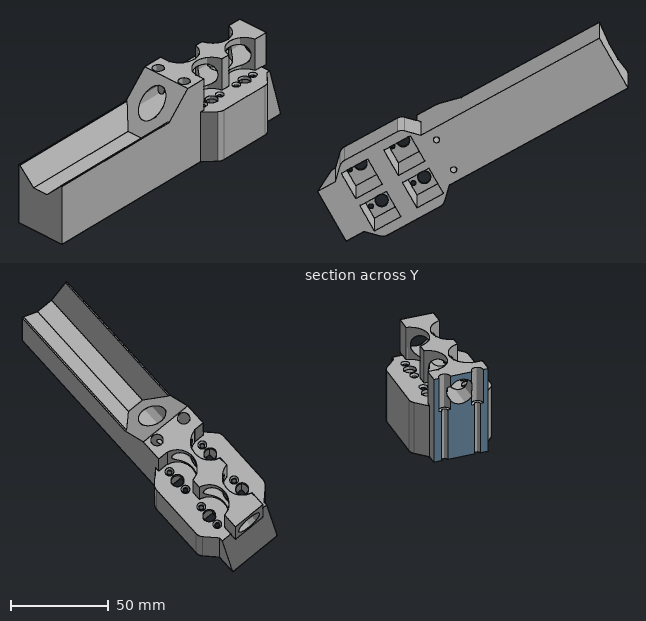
import cadquery as cq
import math

length = 165.1
height = 49.5
body_width = 30.0
handle_height = 35.5
ramp_top_y = 95.0
ramp_bottom_y = ramp_top_y - (height - handle_height)
ledge_height = 30.4
ledge_end_y = 156.8

neck_width = 18.5
neck_end_y = 160.5
neck_underside = 29.9

wing_width = 45.0
wing_center_y = 129.6
wing_flat_length = 35.0
wing_corner_radius = 5.0

pocket_x = 11.0
pocket_pitch = 25.0
pocket_radius = 10.0
through_diameter = 6.6
screw_offset = 6.3
screw_diameter = 2.5
countersink_diameter = 4.5
countersink_angle = 90.0

cavity_roof = 2.0
cavity_length = 15.5
cavity_inner_reach = 8.9
cavity_outer_reach = 6.3

bore_diameter = 14.0
bore_height = 39.0
channel_floor = 26.0
channel_floor_width = 9.4
channel_top_width = 28.4

bolt_spacing = 18.0
bolt_y = 98.7
bolt_diameter = 3.1
bolt_head_diameter = 6.3
bolt_head_depth = 19.8

pocket_ys = [wing_center_y - pocket_pitch / 2, wing_center_y + pocket_pitch / 2]
pocket_start_y = pocket_ys[0] - pocket_radius


def make_body():
    """Full-width bar with the sloped nose, the upper block and the ramp."""
    profile = [
        (0, 0),
        (length, 0),
        (ledge_end_y, ledge_height),
        (pocket_start_y, ledge_height),
        (pocket_start_y, height),
        (ramp_top_y, height),
        (ramp_bottom_y, handle_height),
        (0, handle_height),
    ]
    return cq.Workplane("YZ").polyline(profile).close().extrude(body_width / 2, both=True)


def make_wings():
    """Octagonal plate with 45 degree ends and rounded outer corners."""
    half_flat = wing_flat_length / 2
    half_body = body_width / 2
    half_wing = wing_width / 2
    half_length = half_flat + half_wing - half_body
    outline = [
        (half_body, -half_length),
        (half_wing, -half_flat),
        (half_wing, half_flat),
        (half_body, half_length),
        (-half_body, half_length),
        (-half_wing, half_flat),
        (-half_wing, -half_flat),
        (-half_body, -half_length),
    ]
    plate = cq.Workplane("XY").center(0, wing_center_y).polyline(outline).close().extrude(ledge_height)
    return plate.faces("<X or >X").edges("|Z").fillet(wing_corner_radius)


def make_neck():
    """Narrow upper block that overhangs the sloped nose."""
    return cq.Workplane("XY", origin=(0, ramp_top_y, neck_underside)).box(
        neck_width,
        neck_end_y - ramp_top_y,
        height - neck_underside,
        centered=(True, False, False),
    )


def make_channel():
    """Trapezoidal channel along the handle, stopped by the plane of the ramp."""
    outline = [
        (-channel_floor_width / 2, channel_floor),
        (channel_floor_width / 2, channel_floor),
        (channel_top_width / 2, handle_height),
        (channel_top_width / 2, height),
        (-channel_top_width / 2, height),
        (-channel_top_width / 2, handle_height),
    ]
    prism = cq.Workplane("XZ").polyline(outline).close().extrude(-ramp_top_y)
    below_ramp = (
        cq.Workplane("YZ")
        .polyline([(0, 0), (ramp_top_y - height, 0), (ramp_top_y, height), (0, height)])
        .close()
        .extrude(body_width / 2, both=True)
    )
    return prism.intersect(below_ramp)


pocket_centers = [(x, y) for x in (-pocket_x, pocket_x) for y in pocket_ys]
screw_centers = [(x, y + dy) for x, y in pocket_centers for dy in (-screw_offset, screw_offset)]

result = make_body().union(make_wings()).union(make_neck())

result = result.cut(
    cq.Workplane("XY", origin=(0, 0, ledge_height))
    .pushPoints(pocket_centers)
    .circle(pocket_radius)
    .extrude(height - ledge_height)
)

result = result.cut(make_channel())
result = result.cut(
    cq.Workplane("XZ").center(0, bore_height).circle(bore_diameter / 2).extrude(-length)
)

floor = cq.Workplane("XY", origin=(0, 0, ledge_height))
result = result.cut(floor.pushPoints(pocket_centers).circle(through_diameter / 2).extrude(-ledge_height))
result = result.cut(floor.pushPoints(screw_centers).circle(screw_diameter / 2).extrude(-ledge_height))
countersink_depth = (
    (countersink_diameter - screw_diameter) / 2 / math.tan(math.radians(countersink_angle / 2))
)
countersink = cq.Solid.makeCone(screw_diameter / 2, countersink_diameter / 2, countersink_depth)
for x, y in screw_centers:
    result = result.cut(countersink.translate(cq.Vector(x, y, ledge_height - countersink_depth)))

cavity_width = cavity_inner_reach + cavity_outer_reach
cavity_x = pocket_x + (cavity_outer_reach - cavity_inner_reach) / 2
cavity_centers = [(x, y) for x in (-cavity_x, cavity_x) for y in pocket_ys]
result = result.cut(
    cq.Workplane("XY")
    .pushPoints(cavity_centers)
    .rect(cavity_width, cavity_length)
    .extrude(ledge_height - cavity_roof)
)

bolt_centers = [(-bolt_spacing / 2, bolt_y), (bolt_spacing / 2, bolt_y)]
top = cq.Workplane("XY", origin=(0, 0, height)).pushPoints(bolt_centers)
result = result.cut(top.circle(bolt_diameter / 2).extrude(-height))
result = result.cut(top.circle(bolt_head_diameter / 2).extrude(-bolt_head_depth))